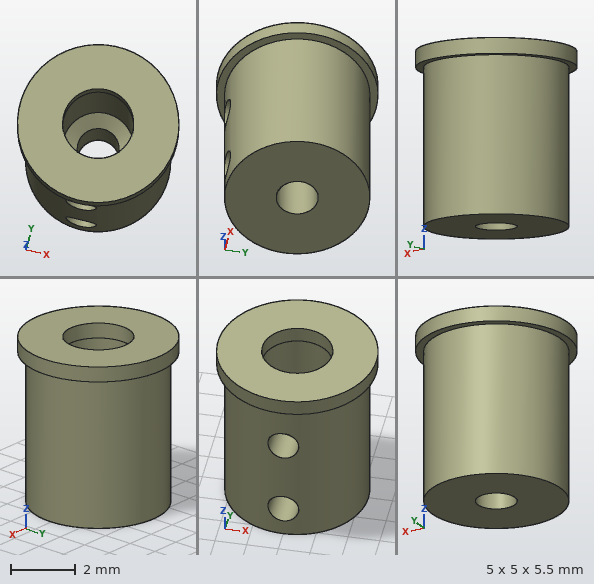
import cadquery as cq
import math

total_height = 5.5
flange_diameter = 5.0
flange_thickness = 0.5
barrel_diameter = 4.5
barrel_height = total_height - flange_thickness

bore_diameter = 2.2
through_diameter = 1.3
cone_angle = 118.0
cone_top = 2.0
cone_height = (bore_diameter - through_diameter) / 2 / math.tan(math.radians(cone_angle / 2))

screw_hole_diameter = 0.97
lower_screw_height = 1.0
screw_spacing = 2.5
screw_hole_count = 2


def make_bore():
    """Revolved cutter for the stepped bore of the barrel."""
    bore_radius = bore_diameter / 2
    through_radius = through_diameter / 2
    return (
        cq.Workplane("XZ")
        .lineTo(through_radius, 0)
        .lineTo(through_radius, cone_top - cone_height)
        .lineTo(bore_radius, cone_top)
        .lineTo(bore_radius, barrel_height)
        .lineTo(0, barrel_height)
        .close()
        .revolve(360, (0, 0, 0), (0, 1, 0))
    )


def make_screw_hole(height):
    """Cylinder from the part axis out through the -Y side of the barrel."""
    return (
        cq.Workplane("XZ")
        .center(0, height)
        .circle(screw_hole_diameter / 2)
        .extrude(barrel_diameter / 2)
    )


def make_barrel():
    """Cylindrical body with the stepped bore and the screw holes."""
    barrel = cq.Workplane("XY").circle(barrel_diameter / 2).extrude(barrel_height)
    barrel = barrel.cut(make_bore())
    for index in range(screw_hole_count):
        barrel = barrel.cut(make_screw_hole(lower_screw_height + index * screw_spacing))
    return barrel


def make_flange():
    """Flat ring resting on the barrel, bored to match it."""
    return (
        cq.Workplane("XY")
        .workplane(offset=barrel_height)
        .circle(flange_diameter / 2)
        .circle(bore_diameter / 2)
        .extrude(flange_thickness)
    )


barrel = make_barrel()
flange = make_flange()

result = cq.Compound.makeCompound([barrel.val(), flange.val()])